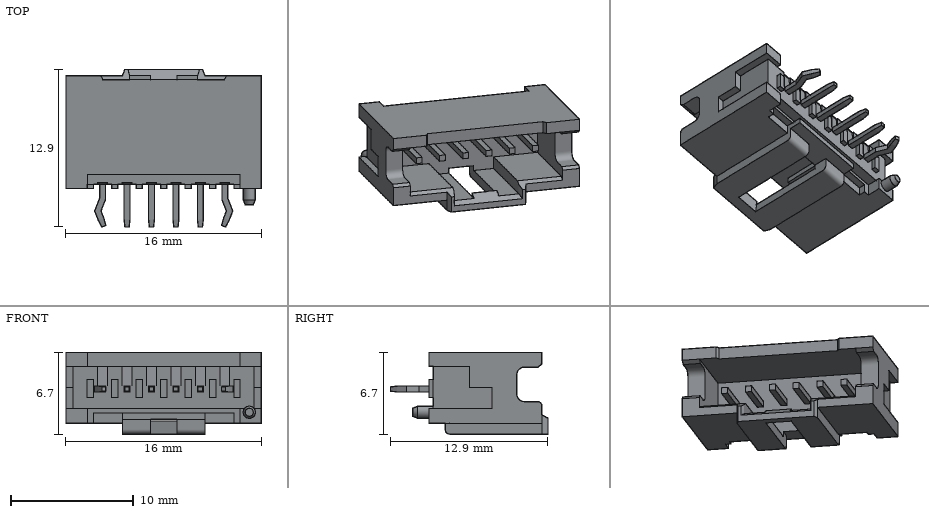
import cadquery as cq
import math


body_width = 16.0
body_depth = 9.25
body_height = 5.8
top_plate_thickness = 1.15
bottom_plate_thickness = 1.2
pin_face_y = 0.34
end_notch_half_width = 6.24
end_notch_depth = 1.15

side_recess_depth = 0.6
side_step_z = 2.93
side_upper_length = 3.32
side_lower_length = 5.18

cavity_half_width = 6.55
cavity_floor_z = 0.9
cavity_ceiling_z = 4.85
cavity_back_y = 2.5

mouth_notch_floor_z = 1.78
mouth_notch_ceiling_z = 4.58
mouth_notch_depth = 2.05
mouth_notch_radius = 0.6
upper_lead_length = 0.34
upper_lead_height = 0.27
lower_lead = 0.23
top_notch_mouth_half_width = 5.15
top_notch_inner_half_width = 4.97
top_notch_depth = 0.33

relief_half_width = 5.76
relief_top_z = 0.85
relief_depth = 1.7
bar_bottom_z = 0.31

latch_half_width = 3.38
latch_bottom_z = -0.9
latch_front_y = 1.33
latch_front_radius = 0.38
channel_half_width = 2.78
channel_floor_z = -0.1
lip_length = 0.5
lip_taper = 0.19
lip_flare = 0.15
lip_top_z = 0.69
ramp_slope = 0.55

tongue_half_width = 1.07
tongue_top_z = 0.2
tongue_undercut = 0.15

pin_count = 6
pitch = 2.0
pin_size = 0.5
pin_z = 2.8
pin_inner_y = 6.8
pin_reach = 3.16
tip_length = 0.63
tip_size = 0.36
groove_width = 0.8
groove_bottom_z = 3.07
groove_depth = 0.16
rib_width = 0.52
rib_bottom_z = 2.1
rib_top_z = 3.6

kink_angle = 21.5
first_bend_y = -0.84
second_bend_y = -1.83
kinked_reach = 3.09

peg_x = 7.0
peg_z = 0.9
peg_radius = 0.5
peg_end_radius = 0.33
peg_reach = 1.33
peg_taper_length = 0.4

top_plate_z = body_height - top_plate_thickness
lip_end_y = body_depth + lip_length
tongue_peak_y = body_depth - (tongue_top_z - channel_floor_z) / ramp_slope
tongue_lean = tongue_undercut / (tongue_top_z - latch_bottom_z)
pin_face_half_width = body_width / 2 - side_recess_depth


def box(x0, x1, y0, y1, z0, z1):
    return cq.Workplane("XY").box(x1 - x0, y1 - y0, z1 - z0, centered=False).translate((x0, y0, z0))


def centred_box(half_width, y0, y1, z0, z1):
    return box(-half_width, half_width, y0, y1, z0, z1)


def side_prism(points, half_width):
    """Extrude a (Y, Z) outline across X, centred on X = 0."""
    return cq.Workplane("YZ").polyline(points).close().extrude(half_width, both=True)


def plan_prism(points, z0, z1):
    """Extrude an (X, Y) outline upwards from z0 to z1."""
    return cq.Workplane("XY").workplane(offset=z0).polyline(points).close().extrude(z1 - z0)


def mouth_trapezoid(half_width_0, y0, half_width_1, y1):
    return [(-half_width_0, y0), (half_width_0, y0), (half_width_1, y1), (-half_width_1, y1)]


def housing():
    body = centred_box(body_width / 2, 0, body_depth, 0, body_height)
    body = body.cut(centred_box(body_width / 2, 0, pin_face_y, bottom_plate_thickness, top_plate_z))
    body = body.cut(centred_box(end_notch_half_width, 0, end_notch_depth, top_plate_z, body_height))
    body = body.cut(centred_box(end_notch_half_width, 0, end_notch_depth, 0, bottom_plate_thickness))
    for edge_x, inner_x in ((-body_width / 2, -pin_face_half_width), (pin_face_half_width, body_width / 2)):
        body = body.cut(box(edge_x, inner_x, 0, side_upper_length, side_step_z, top_plate_z))
        body = body.cut(box(edge_x, inner_x, 0, side_lower_length, bottom_plate_thickness, side_step_z))
    return body


def cavity():
    lip_drop = cavity_floor_z - lip_top_z
    lead_in_y = body_depth - lip_drop / ramp_slope
    outline = [
        (cavity_back_y, cavity_floor_z),
        (lead_in_y, cavity_floor_z),
        (body_depth, lip_top_z),
        (body_depth, cavity_ceiling_z),
        (cavity_back_y, cavity_ceiling_z),
    ]
    return side_prism(outline, cavity_half_width)


def side_mouth_notch():
    inner_y = body_depth - mouth_notch_depth
    outline = [
        (inner_y, mouth_notch_floor_z),
        (body_depth - lower_lead, mouth_notch_floor_z),
        (body_depth, mouth_notch_floor_z - lower_lead),
        (body_depth, mouth_notch_ceiling_z + upper_lead_height),
        (body_depth - upper_lead_length, mouth_notch_ceiling_z),
        (inner_y, mouth_notch_ceiling_z),
    ]
    notch = side_prism(outline, body_width / 2)
    return notch.edges("|X").edges("<Y").fillet(mouth_notch_radius)


def top_mouth_notch():
    outline = mouth_trapezoid(
        top_notch_inner_half_width, body_depth - top_notch_depth, top_notch_mouth_half_width, body_depth
    )
    return plan_prism(outline, cavity_floor_z, body_height)


def latch_block():
    block = centred_box(latch_half_width, latch_front_y, body_depth, latch_bottom_z, relief_top_z)
    block = block.edges("|X").edges("<Y and <Z").fillet(latch_front_radius)
    bar = centred_box(latch_half_width, pin_face_y, cavity_back_y, bar_bottom_z, relief_top_z)
    return block.union(bar)


def latch_lip():
    lip_end_z = lip_top_z - ramp_slope * lip_length
    profile = [
        (body_depth, latch_bottom_z),
        (lip_end_y, latch_bottom_z),
        (lip_end_y, lip_end_z),
        (body_depth, lip_top_z),
    ]
    plan = mouth_trapezoid(latch_half_width, body_depth, latch_half_width - lip_taper, lip_end_y)
    return side_prism(profile, latch_half_width).intersect(plan_prism(plan, latch_bottom_z, lip_top_z))


def latch_channel():
    """Flat channel opening up into the cavity, with a flared ramp down through the lip."""
    channel = centred_box(channel_half_width, cavity_back_y, body_depth, channel_floor_z, cavity_ceiling_z)
    ramp_end_z = channel_floor_z - ramp_slope * lip_length
    ramp = [
        (body_depth, channel_floor_z),
        (lip_end_y, ramp_end_z),
        (lip_end_y, lip_top_z),
        (body_depth, lip_top_z),
    ]
    flare = mouth_trapezoid(channel_half_width, body_depth, channel_half_width + lip_flare, lip_end_y)
    mouth = side_prism(ramp, latch_half_width).intersect(plan_prism(flare, ramp_end_z, lip_top_z))
    return channel.union(mouth)


def tongue_slot():
    outline = [
        (latch_front_y, latch_bottom_z),
        (tongue_peak_y + tongue_undercut, latch_bottom_z),
        (tongue_peak_y, tongue_top_z),
        (tongue_peak_y, bar_bottom_z),
        (latch_front_y, bar_bottom_z),
    ]
    return side_prism(outline, tongue_half_width)


def latch_tongue():
    foot_y = tongue_peak_y + tongue_lean * (tongue_top_z - channel_floor_z)
    outline = [(foot_y, channel_floor_z), (tongue_peak_y, tongue_top_z), (body_depth, channel_floor_z)]
    return side_prism(outline, tongue_half_width)


def groove(x):
    """Wedge-shaped groove, deepest at the top and running out just above the pin."""
    outline = [
        (pin_face_y, groove_bottom_z),
        (pin_face_y, top_plate_z),
        (pin_face_y + groove_depth, top_plate_z),
    ]
    return side_prism(outline, groove_width / 2).translate((x, 0, 0))


def rib(x):
    return box(x - rib_width / 2, x + rib_width / 2, 0, pin_face_y, rib_bottom_z, rib_top_z)


def pin_tip():
    """Tapered pin end, starting at the origin and pointing along -Y."""
    return (
        cq.Workplane("XZ")
        .rect(pin_size, pin_size)
        .workplane(offset=tip_length)
        .rect(tip_size, tip_size)
        .loft(combine=True)
    )


def straight_pin(x):
    tip_start_y = tip_length - pin_reach
    half = pin_size / 2
    shank = box(x - half, x + half, tip_start_y, pin_inner_y, pin_z - half, pin_z + half)
    return shank.union(pin_tip().translate((x, tip_start_y, pin_z)))


def kinked_pin(x, side):
    """Pin that bows outwards to the given side (-1 or 1) and then returns inwards."""
    angle = math.radians(kink_angle)
    half = pin_size / 2
    bow = (first_bend_y - second_bend_y) * math.tan(angle)
    tip_start_y = tip_length * math.cos(angle) - kinked_reach
    tip_start_x = bow - (second_bend_y - tip_start_y) * math.tan(angle)
    mitre_y = half * math.tan(angle / 2)
    mitre_x = half / math.cos(angle)
    end_x = half * math.cos(angle)
    end_y = half * math.sin(angle)
    outline = [
        (-half, pin_inner_y),
        (-half, first_bend_y - mitre_y),
        (bow - mitre_x, second_bend_y),
        (tip_start_x - end_x, tip_start_y + end_y),
        (tip_start_x + end_x, tip_start_y - end_y),
        (bow + mitre_x, second_bend_y),
        (half, first_bend_y + mitre_y),
        (half, pin_inner_y),
    ]
    shank = plan_prism(outline, pin_z - half, pin_z + half)
    tip = pin_tip().rotate((0, 0, 0), (0, 0, 1), -kink_angle).translate((tip_start_x, tip_start_y, pin_z))
    pin = shank.union(tip)
    if side < 0:
        pin = pin.mirror("YZ")
    return pin.translate((x, 0, 0))


def peg():
    length = pin_face_y + peg_reach
    outline = [
        (0, 0),
        (peg_radius, 0),
        (peg_radius, length - peg_taper_length),
        (peg_end_radius, length),
        (0, length),
    ]
    shape = cq.Workplane("XY").polyline(outline).close().revolve(360, (0, 0, 0), (0, 1, 0))
    return shape.mirror("XZ").translate((peg_x, pin_face_y, peg_z))


result = housing()
result = result.cut(centred_box(relief_half_width, 0, relief_depth, 0, relief_top_z))
result = result.union(latch_block()).union(latch_lip())
result = result.cut(cavity()).cut(latch_channel()).cut(side_mouth_notch()).cut(top_mouth_notch())
result = result.cut(tongue_slot()).union(latch_tongue())

first_pin_x = -pitch * (pin_count - 1) / 2
for i in range(pin_count):
    pin_x = first_pin_x + i * pitch
    result = result.cut(groove(pin_x))
    if i == 0:
        result = result.union(kinked_pin(pin_x, -1))
    elif i == pin_count - 1:
        result = result.union(kinked_pin(pin_x, 1))
    else:
        result = result.union(straight_pin(pin_x))

for i in range(pin_count + 1):
    result = result.union(rib(first_pin_x + (i - 0.5) * pitch))

result = result.union(peg())